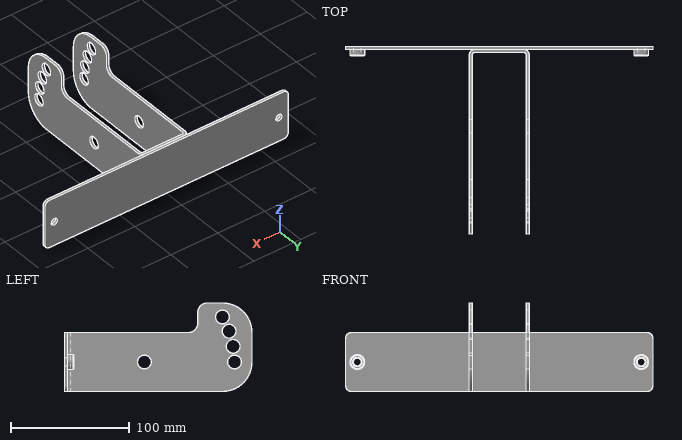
import cadquery as cq
import math

sheet_thickness = 2.66

plate_length = 260.0
plate_height = 50.0
plate_thickness = sheet_thickness
plate_corner_radius = 5.0
plate_front_y = -plate_thickness

boss_diameter = 12.6
boss_height = 5.5
boss_chamfer = 0.8
bore_diameter = 6.5
bore_chamfer = 0.7
boss_end_distance = 10.0
boss_x = plate_length / 2 - boss_end_distance
boss_z = plate_height / 2

bracket_width = 50.8
inner_bend_radius = 1.8
outer_bend_radius = inner_bend_radius + sheet_thickness
bracket_depth = 156.0
tip_y = plate_front_y - bracket_depth

arm_height = plate_height
head_height = 75.0
head_length = 46.0
head_rear_y = tip_y + head_length
tip_radius = 25.0
head_fillet_radius = 8.0

hole_diameter = 11.4
adjust_radius = 76.2
adjust_step = 10.0
adjust_count = 4
adjust_tip_distance = 14.85
pivot_y = tip_y + adjust_tip_distance + adjust_radius
pivot_z = arm_height / 2


def cylinder_along_y(diameter, x, y_start, length):
    """Cylinder at boss height that runs from y_start toward -Y."""
    return (
        cq.Workplane("XZ", origin=(x, y_start, boss_z))
        .circle(diameter / 2)
        .extrude(length)
    )


def make_plate():
    """Flat plate with rounded corners and a hole behind each boss."""
    plate = (
        cq.Workplane("XY")
        .box(plate_length, plate_thickness, plate_height, centered=(True, False, False))
        .translate((0, plate_front_y, 0))
        .edges("|Y")
        .fillet(plate_corner_radius)
    )
    for side in (-1, 1):
        plate = plate.cut(cylinder_along_y(bore_diameter, side * boss_x, 0, plate_thickness))
    return plate


def make_boss(x):
    """Round boss with a chamfered rim and a chamfered through bore."""
    boss = cylinder_along_y(boss_diameter, x, plate_front_y, boss_height)
    boss = boss.faces("<Y").edges().chamfer(boss_chamfer)
    boss = boss.cut(cylinder_along_y(bore_diameter, x, plate_front_y, boss_height))
    return boss.faces("<Y").edges(cq.selectors.RadiusNthSelector(0)).chamfer(bore_chamfer)


def make_channel():
    """U-shaped bent sheet at the full height of the arm heads."""
    inner_width = bracket_width - 2 * sheet_thickness
    outer = (
        cq.Workplane("XY")
        .box(bracket_width, bracket_depth, head_height, centered=(True, False, False))
        .translate((0, tip_y, 0))
        .edges("|Z and >Y")
        .fillet(outer_bend_radius)
    )
    inner = (
        cq.Workplane("XY")
        .box(inner_width, bracket_depth - sheet_thickness, head_height, centered=(True, False, False))
        .translate((0, tip_y, 0))
        .edges("|Z and >Y")
        .fillet(inner_bend_radius)
    )
    return outer.cut(inner)


def make_side_profile():
    """Arm outline in the YZ plane, extruded across the bracket width."""
    r = head_fillet_radius
    diagonal = math.sqrt(0.5)
    tip_sag = tip_radius * (1 - diagonal)
    fillet_sag = r * (1 - diagonal)
    return (
        cq.Workplane("YZ", origin=(-bracket_width / 2, 0, 0))
        .moveTo(plate_front_y, 0)
        .lineTo(tip_y + tip_radius, 0)
        .threePointArc((tip_y + tip_sag, tip_sag), (tip_y, tip_radius))
        .lineTo(tip_y, head_height - tip_radius)
        .threePointArc((tip_y + tip_sag, head_height - tip_sag), (tip_y + tip_radius, head_height))
        .lineTo(head_rear_y - r, head_height)
        .threePointArc((head_rear_y - fillet_sag, head_height - fillet_sag), (head_rear_y, head_height - r))
        .lineTo(head_rear_y, arm_height + r)
        .threePointArc((head_rear_y + fillet_sag, arm_height + fillet_sag), (head_rear_y + r, arm_height))
        .lineTo(plate_front_y, arm_height)
        .close()
        .extrude(bracket_width)
    )


def make_arm_holes():
    """Pivot hole and adjustment holes, drilled through both arms."""
    centers = [(pivot_y, pivot_z)]
    for i in range(adjust_count):
        angle = math.radians(i * adjust_step)
        y = pivot_y - adjust_radius * math.cos(angle)
        z = pivot_z + adjust_radius * math.sin(angle)
        centers.append((y, z))
    return (
        cq.Workplane("YZ", origin=(-bracket_width / 2, 0, 0))
        .pushPoints(centers)
        .circle(hole_diameter / 2)
        .extrude(bracket_width)
    )


plate = make_plate()
bracket = make_channel().intersect(make_side_profile()).cut(make_arm_holes())
bosses = [make_boss(side * boss_x) for side in (-1, 1)]

result = cq.Compound.makeCompound([plate.val(), bracket.val(), *[boss.val() for boss in bosses]])